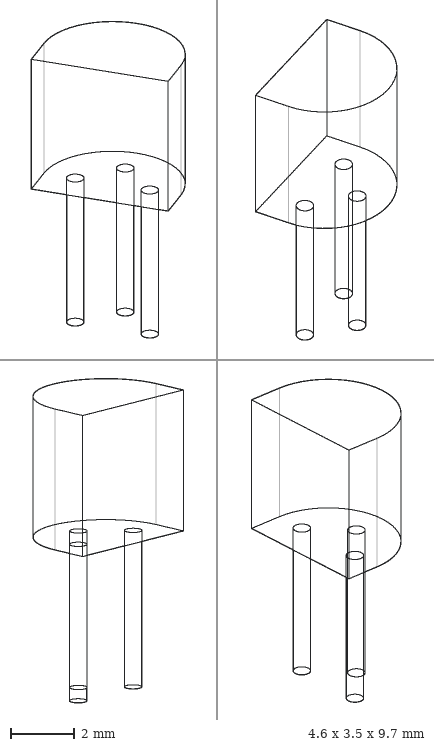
import cadquery as cq

total_height = 9.7
body_width = 4.6
body_depth = 3.5
body_height = 4.6
lead_diameter = 0.55
lead_pitch = 1.25
middle_lead_y = 1.19

body_radius = body_width / 2
flat_y = body_radius - body_depth
lead_length = total_height - body_height


def make_body():
    """D-shaped housing: flat front, straight sides and a half-round back."""
    return (
        cq.Workplane("XY")
        .moveTo(-body_radius, flat_y)
        .lineTo(body_radius, flat_y)
        .lineTo(body_radius, 0)
        .threePointArc((0, body_radius), (-body_radius, 0))
        .close()
        .extrude(body_height)
    )


def make_lead(x, y):
    """Round lead hanging from the underside of the body."""
    return cq.Workplane("XY").center(x, y).circle(lead_diameter / 2).extrude(-lead_length)


lead_positions = [
    (-lead_pitch, 0),
    (0, middle_lead_y),
    (lead_pitch, 0),
]

body = make_body()
leads = [make_lead(x, y) for x, y in lead_positions]

result = cq.Compound.makeCompound([body.val(), *[lead.val() for lead in leads]])